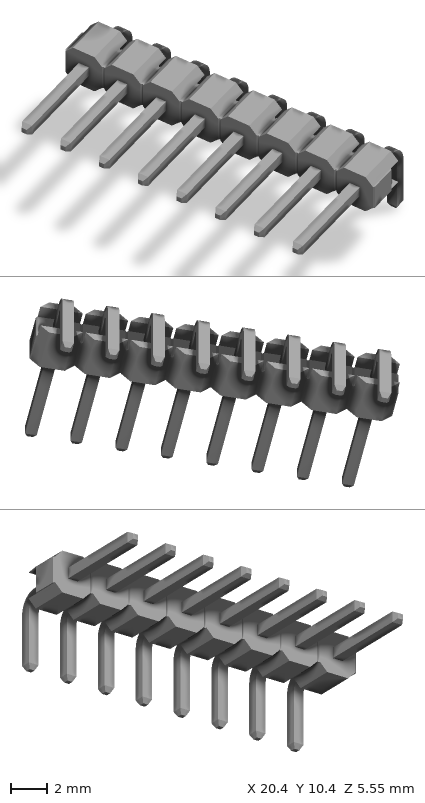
import cadquery as cq


pin_count = 8
pitch = 2.55

block_width = 2.38
block_depth = 2.55
block_height = 2.55
block_chamfer = 0.49
rear_slot_depth = 0.73
row_length = pin_count * pitch
bevel = (pitch - block_width) / 2
flat_height = block_height - 2 * block_chamfer

pin_size = 0.65
front_reach = 5.97
rear_reach = 1.83
overall_height = 5.55
bend_inner_radius = 0.53
tip_length = 0.3
tip_size = 0.33

leg_drop = overall_height - block_height / 2
leg_y = block_depth + rear_reach - pin_size / 2
bend_radius = bend_inner_radius + pin_size / 2
pin_places = [(i - (pin_count - 1) / 2) * pitch for i in range(pin_count)]


def box(width, depth, height, x, front_y):
    """Box centred on x and on Z = 0, reaching back from front_y."""
    return cq.Workplane("XY").box(width, depth, height).translate((x, front_y + depth / 2, 0))


def make_block(x):
    """Octagonal block around one pin."""
    block = box(block_width, block_depth, block_height, x, 0)
    return block.edges("|Y").chamfer(block_chamfer)


def make_core(x):
    """Flat-sided middle of a block, one pitch wide, with bevelled upright corners."""
    core = box(pitch, block_depth - rear_slot_depth, flat_height, x, 0)
    return core.edges("|Z").chamfer(bevel)


def make_housing():
    """Row of blocks, with a slot along the rear and a square hole for each pin."""
    rear_slot = box(row_length, rear_slot_depth, flat_height, 0, block_depth - rear_slot_depth)
    housing = cq.Workplane("XY")
    for x in pin_places:
        pin_hole = box(pin_size, block_depth, pin_size, x, 0)
        housing = housing.union(make_block(x).cut(rear_slot).union(make_core(x)).cut(pin_hole))
    return housing


def make_tip(plane):
    """Tapered pin end, narrowing along the normal of the plane."""
    return (
        cq.Workplane(plane)
        .rect(pin_size, pin_size)
        .workplane(offset=tip_length)
        .rect(tip_size, tip_size)
        .loft(ruled=True)
    )


def make_pin(x):
    """Square wire running back through the housing and bent down behind it."""
    front_end = (-front_reach + tip_length, 0)
    leg_end = (leg_y, -leg_drop + tip_length)
    path = (
        cq.Workplane("YZ")
        .moveTo(*front_end)
        .lineTo(leg_y - bend_radius, 0)
        .radiusArc((leg_y, -bend_radius), bend_radius)
        .lineTo(*leg_end)
    )
    wire = cq.Workplane("XZ", origin=(0, front_end[0], 0)).rect(pin_size, pin_size).sweep(path)
    front_tip = make_tip(cq.Plane(origin=(0, front_end[0], 0), xDir=(1, 0, 0), normal=(0, -1, 0)))
    leg_tip = make_tip(cq.Plane(origin=(0, *leg_end), xDir=(1, 0, 0), normal=(0, 0, -1)))
    return wire.union(front_tip).union(leg_tip).translate((x, 0, 0))


housing = make_housing()
pins = [make_pin(x) for x in pin_places]

result = cq.Compound.makeCompound([housing.val(), *[pin.val() for pin in pins]])